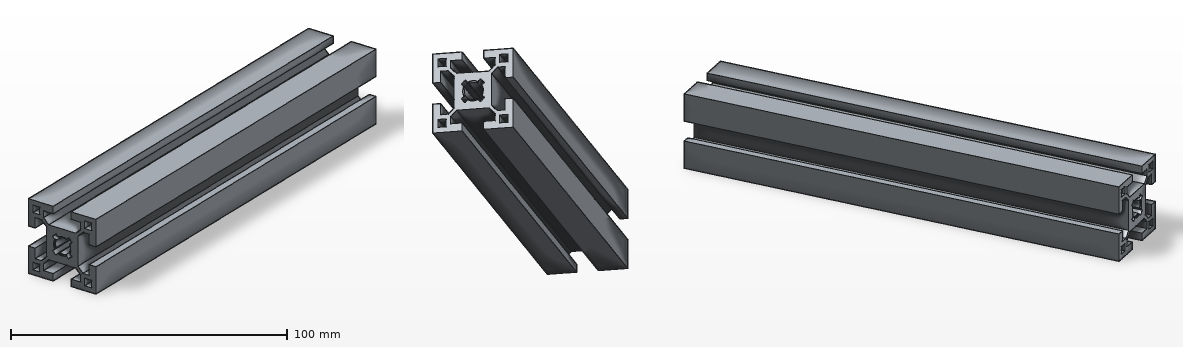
import cadquery as cq
import math

side = 30.0
length = 175.0
half_side = side / 2

slot_opening = 8.0
lip_thickness = 3.0
slot_inner_width = 16.5
half_inner_width = slot_inner_width / 2

core_side = 14.0
web_thickness = 1.4

corner_outer_wall = 2.0
corner_void_side = 3.0

bore_diameter = 6.6
groove_width = 2.0
groove_span = 10.0
counterbore_diameter = 7.6
counterbore_depth = 0.5

diagonal = 45


def section():
    """Workplane of the cross-section, halfway along the profile."""
    return cq.Workplane("XZ")


def prism(outline):
    """Extrude a closed cross-section over the full length, centred on Y."""
    return outline.extrude(length / 2, both=True)


def turned(body, angle):
    """Turn a body about the profile axis."""
    return body.rotate((0, 0, 0), (0, 1, 0), angle)


def around_axis(body):
    """Repeat a body at four quarter turns about the profile axis."""
    copies = body
    for angle in (90, 180, 270):
        copies = copies.union(turned(body, angle))
    return copies


def corner():
    """Corner block: a square tube carrying one slot lip along each outer side."""
    lip_edge = slot_opening / 2
    lip_inside = half_side - lip_thickness
    outline = [
        (half_side, half_side),
        (lip_edge, half_side),
        (lip_edge, lip_inside),
        (half_inner_width, lip_inside),
        (half_inner_width, half_inner_width),
        (lip_inside, half_inner_width),
        (lip_inside, lip_edge),
        (half_side, lip_edge),
    ]
    void_centre = half_side - corner_outer_wall - corner_void_side / 2
    block = prism(section().polyline(outline).close())
    void = prism(section().center(void_centre, void_centre).rect(corner_void_side, corner_void_side))
    return block.cut(void)


def web():
    """Diagonal web from the profile axis into the wall of the corner tube."""
    reach = half_inner_width * math.sqrt(2) + web_thickness / 2
    bar = prism(section().center(reach / 2, 0).rect(reach, web_thickness))
    return turned(bar, -diagonal)


def bore():
    """Central bore with a shallow counterbore at each end and flat-bottomed diagonal grooves."""
    hole = prism(section().circle(bore_diameter / 2))
    groove = prism(section().rect(groove_span, groove_width))
    for angle in (diagonal, -diagonal):
        hole = hole.union(turned(groove, angle))

    counterbore = section().circle(counterbore_diameter / 2).extrude(counterbore_depth)
    for offset in (-length / 2 + counterbore_depth, length / 2):
        hole = hole.union(counterbore.translate((0, offset, 0)))
    return hole


core = prism(section().rect(core_side, core_side))
result = core.union(around_axis(corner().union(web()))).cut(bore())